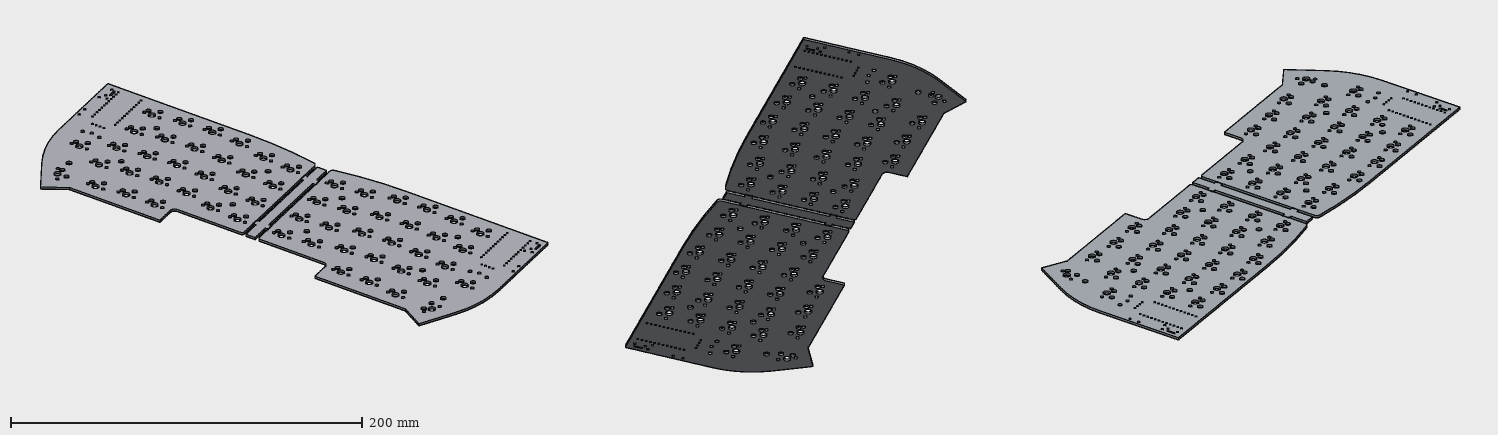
import cadquery as cq
import math


length = 295.0
width = 106.2
thickness = 1.6
half_length = length / 2
top_y = width / 2
tip_y = -width / 2

columns = 6
inner_column_x = 14.8
outer_column_x = 110.0
key_pitch = (outer_column_x - inner_column_x) / (columns - 1)
grid_step = key_pitch / 15

inner_x = 5.0
inner_bottom_y = -30.7
top_curve_start_x = 53.0
top_curve_drop = 4.5
inner_top_corner = 2.5
inner_bottom_corner = 1.5
notch_x = 52.0
notch_corner = 3.0
thumb_bottom_y = -44.8
tip_x = 127.0
tip_angle = 30.0
side_radius = 65.0

slot_width = 1.9
strip_half_width = inner_x - slot_width
strip_top_y = 46.5
tabs = [(31.5, 36.0), (-19.8, -15.5)]
bite_dia = 0.3
bite_pitch = 0.83
bites_per_tab = 5

key_centre_dia = 4.0
key_post_dia = 1.9
key_contact_dia = 3.0
key_posts = [(-4 * grid_step, 0), (4 * grid_step, 0)]
key_contacts = [(-3 * grid_step, 2 * grid_step), (2 * grid_step, 4 * grid_step)]

rows = 4
inner_column_top_y = 36.3
column_rises = [0, 1.55, key_pitch / 4, 1.42, -1.42, -key_pitch / 8]
thumb_key = (125.5, -37.0)
thumb_key_turn = 2 * tip_angle

screw_dia = 3.2
upper_screws = [(24.8, 28.3), (101.0, 30.7)]
thumb_screw = (125.5, -24.5)

button_side_dia = 2.1
button_middle_dia = 1.9
button_centres = [(-129.5, 6.0), (130.0, 6.0)]
button_pin_spacing = 5.5
button_middle = (-0.25, 1.25)

pin_dia = 1.0
pin_pitch = 2 * grid_step
controller_pins = 12
controller_inner_x = 122.7
controller_row_spacing = 12 * grid_step
controller_top_y = 49.0
display_pins = 4
display_inner_x = 126.5
display_y = 15.0

jack_x = 142.5
jack_half_width = 2.2
jack_dia = 1.3
jack_anchor_ys = [42.8, 49.3]
jack_contact_y = 40.5
jack_ground_y = 39.2
jack_slot_width = 1.0
jack_slot_length = 5.0
jack_slot_y = 46.3

power_switch_dia = 1.3
power_switch_x = 145.5
power_switch_ys = [19.0, 24.8]


def half_plate():
    """Plate of the +X half, without holes."""
    slope = math.radians(tip_angle)
    sides_meet_y = tip_y + (half_length - tip_x) / math.tan(slope)
    tangent_length = side_radius * math.tan(slope / 2)
    arc_lower_end = (
        half_length - tangent_length * math.sin(slope),
        sides_meet_y - tangent_length * math.cos(slope),
    )
    thumb_corner_x = tip_x - (thumb_bottom_y - tip_y) / math.tan(slope)
    inner_top_y = top_y - top_curve_drop
    plate = (
        cq.Workplane("XY", origin=(0, 0, -thickness / 2))
        .moveTo(half_length, top_y)
        .lineTo(top_curve_start_x, top_y)
        .tangentArcPoint((inner_x, inner_top_y), relative=False)
        .lineTo(inner_x, inner_bottom_y)
        .lineTo(notch_x, inner_bottom_y)
        .lineTo(notch_x, thumb_bottom_y)
        .lineTo(thumb_corner_x, thumb_bottom_y)
        .lineTo(tip_x, tip_y)
        .lineTo(*arc_lower_end)
        .tangentArcPoint((half_length, sides_meet_y + tangent_length), relative=False)
        .close()
        .extrude(thickness)
    )
    rounded_corners = [
        (inner_x, inner_top_y, inner_top_corner),
        (inner_x, inner_bottom_y, inner_bottom_corner),
        (notch_x, inner_bottom_y, notch_corner),
    ]
    for x, y, radius in rounded_corners:
        corner = cq.selectors.NearestToPointSelector((x, y, 0))
        plate = plate.edges("|Z").edges(corner).fillet(radius)
    return plate


def box_between(x_low, x_high, y_low, y_high):
    """Block of plate thickness between the given limits."""
    block = cq.Workplane("XY").box(x_high - x_low, y_high - y_low, thickness)
    return block.translate(((x_low + x_high) / 2, (y_low + y_high) / 2, 0))


def placed(points, x, y, angle=0.0):
    """Points turned by an angle in degrees about the origin and then moved to (x, y)."""
    cos_a = math.cos(math.radians(angle))
    sin_a = math.sin(math.radians(angle))
    return [(x + u * cos_a - v * sin_a, y + u * sin_a + v * cos_a) for u, v in points]


def both_halves(points):
    """The given points of the +X half together with their mirror images."""
    return points + [(-x, y) for x, y in points]


def key_positions():
    """Centres of the unturned keys of the +X half."""
    column_xs = [inner_column_x + i * key_pitch for i in range(columns)]
    column_ys = [inner_column_top_y + sum(column_rises[: i + 1]) for i in range(columns)]
    keys = [(x, y - row * key_pitch) for x, y in zip(column_xs, column_ys) for row in range(rows)]
    keys.append((column_xs[-1] + key_pitch, column_ys[-1] - 2.5 * key_pitch))
    for x, y in zip(column_xs[-3:], (column_ys[-2], column_ys[-2], column_ys[-1])):
        keys.append((x - key_pitch / 2, y - rows * key_pitch))
    return keys


def pin_positions():
    """Controller and display pins of the +X half."""
    pins = []
    for x in (controller_inner_x, controller_inner_x + controller_row_spacing):
        pins += [(x, controller_top_y - i * pin_pitch) for i in range(controller_pins)]
    pins += [(display_inner_x + i * pin_pitch, display_y) for i in range(display_pins)]
    return pins


def through_tools(points):
    """Workplane below the plate holding the given points."""
    return cq.Workplane("XY", origin=(0, 0, -thickness)).pushPoints(points)


def drill(body, points, diameter):
    """Cut round through holes."""
    return body.cut(through_tools(points).circle(diameter / 2).extrude(2 * thickness))


def add_key_holes(body):
    """Key positions are mirrored but the footprint itself is not."""
    places = [(x, y, 0) for x, y in both_halves(key_positions())]
    thumb_x, thumb_y = thumb_key
    places += [(thumb_x, thumb_y, thumb_key_turn), (-thumb_x, thumb_y, -thumb_key_turn)]
    centres = [(x, y) for x, y, _ in places]
    posts = [point for place in places for point in placed(key_posts, *place)]
    contacts = [point for place in places for point in placed(key_contacts, *place)]
    body = drill(body, centres, key_centre_dia)
    body = drill(body, posts, key_post_dia)
    return drill(body, contacts, key_contact_dia)


def add_tab_bites(body):
    """Rows of tiny holes that continue the inner edges of the halves across the tabs."""
    bites = []
    for tab_bottom, tab_top in tabs:
        first_y = (tab_bottom + tab_top - (bites_per_tab - 1) * bite_pitch) / 2
        bites += [(inner_x, first_y + i * bite_pitch) for i in range(bites_per_tab)]
    return drill(body, both_halves(bites), bite_dia)


def add_screw_holes(body):
    lower_screws = [(x, y - 2 * key_pitch) for x, y in upper_screws]
    return drill(body, both_halves(upper_screws + lower_screws + [thumb_screw]), screw_dia)


def add_button_holes(body):
    for x, y in button_centres:
        sides = [(x - button_pin_spacing, y), (x + button_pin_spacing, y)]
        body = drill(body, sides, button_side_dia)
        body = drill(body, placed([button_middle], x, y), button_middle_dia)
    return body


def add_jack_holes(body):
    for x in (-jack_x, jack_x):
        left_x = x - jack_half_width
        right_x = x + jack_half_width
        holes = [(x, y) for y in jack_anchor_ys]
        holes += [(left_x, jack_ground_y), (right_x, jack_contact_y)]
        body = drill(body, holes, jack_dia)
        slot = through_tools([(right_x, jack_slot_y)]).slot2D(jack_slot_length, jack_slot_width, 90)
        body = body.cut(slot.extrude(2 * thickness))
    return body


def add_power_switch_holes(body):
    holes = [(power_switch_x, y) for y in power_switch_ys]
    return drill(body, both_halves(holes), power_switch_dia)


right_half = half_plate()
board = right_half.union(right_half.mirror("YZ"))
board = board.union(box_between(-strip_half_width, strip_half_width, inner_bottom_y, strip_top_y))
for tab_bottom, tab_top in tabs:
    board = board.union(box_between(-inner_x, inner_x, tab_bottom, tab_top))

board = add_tab_bites(board)
board = add_key_holes(board)
board = add_screw_holes(board)
board = drill(board, both_halves(pin_positions()), pin_dia)
board = add_button_holes(board)
board = add_jack_holes(board)
board = add_power_switch_holes(board)

result = board